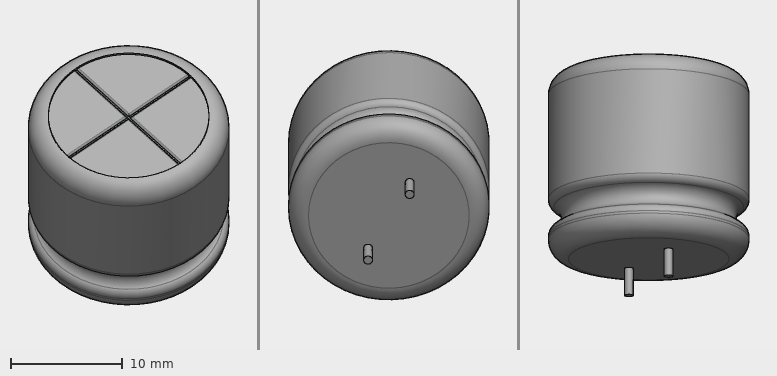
import cadquery as cq
import math

total_height = 19.5
can_diameter = 18.0
can_radius = can_diameter / 2

pin_length = 2.5
pin_diameter = 0.8
pin_spacing = 7.49
pin_overlap = 0.2

top_face_diameter = 14.4
top_face_radius = top_face_diameter / 2
edge_round = can_radius - top_face_radius
waist_radius = 7.84
waist_height = 6.28
waist_round = 1.1
shoulder_round = 0.8

recess_depth = 0.2
groove_floor_width = 0.18
groove_edge_round = 0.165


def arc_point(center, radius, degrees):
    """Point on a circle in the (radius, height) plane."""
    angle = math.radians(degrees)
    return (center[0] + radius * math.cos(angle), center[1] + radius * math.sin(angle))


def make_can():
    """Revolved can with rounded rims and a crimped waist, all arcs tangent."""
    bottom_center = (top_face_radius, pin_length + edge_round)
    top_center = (top_face_radius, total_height - edge_round)
    waist_center = (waist_radius + waist_round, waist_height)

    shoulder_x = can_radius - shoulder_round
    center_run = waist_center[0] - shoulder_x
    center_rise = math.sqrt((waist_round + shoulder_round) ** 2 - center_run**2)
    lower_center = (shoulder_x, waist_height - center_rise)
    upper_center = (shoulder_x, waist_height + center_rise)
    touch_angle = math.degrees(math.atan2(center_rise, center_run))

    profile = (
        cq.Workplane("XZ")
        .moveTo(0, pin_length)
        .lineTo(top_face_radius, pin_length)
        .threePointArc(arc_point(bottom_center, edge_round, -45), (can_radius, bottom_center[1]))
        .lineTo(can_radius, lower_center[1])
        .threePointArc(
            arc_point(lower_center, shoulder_round, touch_angle / 2),
            arc_point(lower_center, shoulder_round, touch_angle),
        )
        .threePointArc(
            (waist_radius, waist_height),
            arc_point(upper_center, shoulder_round, -touch_angle),
        )
        .threePointArc(
            arc_point(upper_center, shoulder_round, -touch_angle / 2),
            (can_radius, upper_center[1]),
        )
        .lineTo(can_radius, top_center[1])
        .threePointArc(arc_point(top_center, edge_round, 45), (top_face_radius, total_height))
        .lineTo(0, total_height)
        .close()
    )
    return profile.revolve(360, (0, 0, 0), (0, 1, 0))


def make_recess():
    """Shallow round pocket in the top face."""
    floor = total_height - recess_depth
    return cq.Workplane("XY").workplane(offset=floor).circle(top_face_radius).extrude(recess_depth)


def make_cross_grooves():
    """Two crossing grooves with rounded edges in the recess floor, ending at its rim."""
    groove_top = total_height - recess_depth
    groove_floor = groove_top - groove_edge_round
    half_floor = groove_floor_width / 2
    half_top = half_floor + groove_edge_round
    right_middle = arc_point((half_top, groove_floor), groove_edge_round, 135)
    left_middle = arc_point((-half_top, groove_floor), groove_edge_round, 45)
    groove = (
        cq.Workplane("XZ")
        .moveTo(-half_floor, groove_floor)
        .lineTo(half_floor, groove_floor)
        .threePointArc(right_middle, (half_top, groove_top))
        .lineTo(-half_top, groove_top)
        .threePointArc(left_middle, (-half_floor, groove_floor))
        .close()
        .extrude(top_face_radius, both=True)
    )
    cross = groove.union(groove.rotate((0, 0, 0), (0, 0, 1), 90))
    limit = (
        cq.Workplane("XY")
        .workplane(offset=groove_floor)
        .circle(top_face_radius)
        .extrude(groove_edge_round)
    )
    return cross.intersect(limit)


def make_pins():
    """Pair of round pins below the can."""
    pin_places = [(-pin_spacing / 2, 0), (pin_spacing / 2, 0)]
    return (
        cq.Workplane("XY")
        .pushPoints(pin_places)
        .circle(pin_diameter / 2)
        .extrude(pin_length + pin_overlap)
    )


can = make_can().cut(make_recess()).cut(make_cross_grooves())
result = can.union(make_pins())